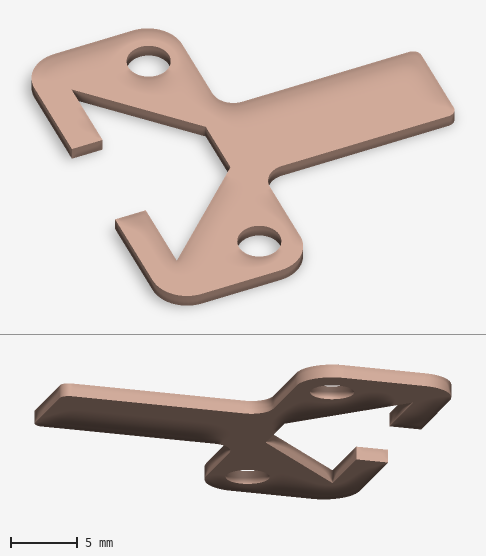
import cadquery as cq

width = 28.0
length = 28.0
thickness = 1.0

body_length = 12.0
body_corner_radius = 2.8

handle_width = 7.5
handle_tip_radius = 0.7
handle_root_radius = 1.7

lip_length = 2.5
mouth_width = 8.2
cutout_base_width = 20.0
cutout_depth = 7.65
cutout_top_width = cutout_base_width - 2 * cutout_depth
cutout_top = lip_length + cutout_depth

hole_diameter = 3.3
hole_spacing = 21.0
hole_height = 9.0


def make_body():
    """Rectangular plate with its front edge on Y = 0 and rounded corners."""
    plate = cq.Workplane("XY").box(width, body_length, thickness, centered=(True, False, False))
    return plate.edges("|Z").fillet(body_corner_radius)


def make_handle():
    """Straight handle overlapping the body, rounded at its free end."""
    handle_start = cutout_top
    handle = (
        cq.Workplane("XY")
        .box(handle_width, length - handle_start, thickness, centered=(True, False, False))
        .translate((0, handle_start, 0))
    )
    return handle.edges("|Z and >Y").fillet(handle_tip_radius)


def round_handle_root(plate):
    """Blend the two inside corners where the handle meets the body."""
    reach = 0.28
    corner_zone = cq.selectors.BoxSelector(
        (-handle_width / 2 - reach, body_length - reach, -reach),
        (handle_width / 2 + reach, body_length + reach, thickness + reach),
    )
    return plate.edges("|Z").edges(corner_zone).fillet(handle_root_radius)


def make_cutout():
    """Trapezoid and the mouth that opens it to the front edge."""
    outline = [
        (-mouth_width / 2, 0),
        (-mouth_width / 2, lip_length),
        (-cutout_base_width / 2, lip_length),
        (-cutout_top_width / 2, cutout_top),
        (cutout_top_width / 2, cutout_top),
        (cutout_base_width / 2, lip_length),
        (mouth_width / 2, lip_length),
        (mouth_width / 2, 0),
    ]
    return cq.Workplane("XY").polyline(outline).close().extrude(thickness)


def make_holes():
    """Two through holes, one on each side of the cutout."""
    centers = [(side * hole_spacing / 2, hole_height) for side in (-1, 1)]
    return cq.Workplane("XY").pushPoints(centers).circle(hole_diameter / 2).extrude(thickness)


blank = round_handle_root(make_body().union(make_handle(), clean=True))
result = blank.cut(make_cutout()).cut(make_holes())